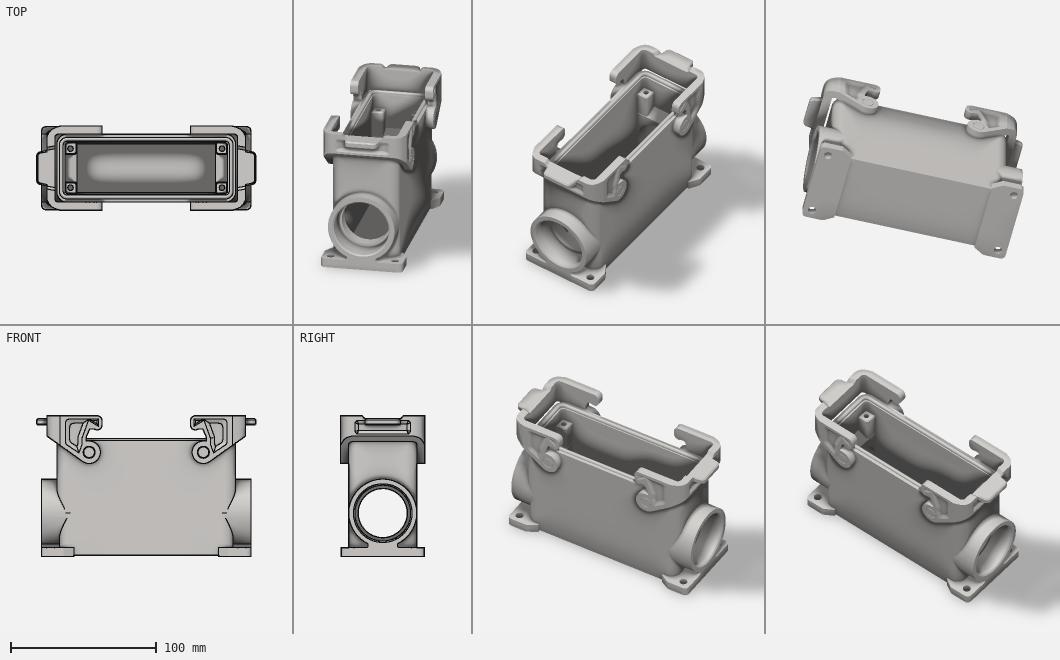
import math

import cadquery as cq

BODY_HALF_X = 61.4
LOWER_HALF_X = 59.6
BODY_HALF_Y = 23.4
BODY_CORNER_R = 7.2
BODY_BOTTOM_Z = 1.0
SHOULDER_Z = 79.7
RIM_TOP_Z = 81.2
RIM_HALF_X, RIM_HALF_Y = 59.7, 21.2
RIM_WIDTH = 2.7
RIM_EDGE_R = 1.34
RIM_CORNER_R = 5.5

SEAL_LEDGE_Z = 79.0
CAVITY_HALF_X, CAVITY_HALF_Y = 55.9, 17.8
FLOOR_HALF_Y = 16.6
SHELF_Z = 69.2
FLOOR_Z = 5.0
CAVITY_CORNER_R = 3.0

BLOCK_INNER_X = 47.4
BLOCK_INNER_Z = 51.0
BLOCK_SLOPE = 25.0

POST_INNER_X = 47.6
POST_INNER_Y = 9.4
POST_CORNER_R = 2.0
POST_CHAMFER = 0.7
POST_HOLE_X, POST_HOLE_Y = 52.0, 13.4
POST_HOLE_R = 1.9
POST_HOLE_DEPTH = 12.0

NOZZLE_END_X = 71.9
NOZZLE_ROOT_X = 50.0
NOZZLE_R = 23.35
NOZZLE_Z = 29.95
BORE_R = 16.8
COUNTERBORE_R = 19.2
COUNTERBORE_DEPTH = 15.7
MOUTH_CHAMFER = 0.95
WEB_HALF_Y = 10.1
WEB_FILLET_R = 1.5

FOOT_HALF_Y = 28.6
FOOT_INNER_X = 49.6
FOOT_BEVEL_X = 56.7
FOOT_BEVEL_Y = 24.4
FOOT_HEIGHT = 6.2
FOOT_CORNER_R = 3.2
FOOT_BEND_R = 3.3
FOOT_HOLE_X, FOOT_HOLE_Y = 65.8, 22.6
FOOT_HOLE_R = 2.75

LEVER_TOP_Z = 96.9
LEVER_END_X = 68.2
LEVER_INNER_X = 62.8
LEVER_HALF_Y = 29.0
LEVER_END_Z = 82.8
LEVER_INNER_R = 2.7
CORNER_ARC_R = 7.8
CORNER_ARC_Y = 20.15
CORNER_ARC_SWEEP = 60.0
CORNER_FLAT_X, CORNER_FLAT_Y = 62.1, 27.9
ARM_START_X = 59.1
PIVOT_X, PIVOT_Z = 39.2, 71.7
PIVOT_R = 7.7
PIN_R = 4.1
PIN_GAP = 0.4
PIN_GAP_DEPTH = 0.5
HOOK_TIP_X = 30.3
HOOK_TIP_R = 3.7
HOOK_BOTTOM_Z = 86.9
HOOK_THROAT = [(-35.8, 87.6), (-38.8, 87.6), (-41.0, 82.5)]
THROAT_END_X = 41.3
LEVER_POCKET = [
    (-55.4, 94.5), (-39.3, 94.5), (-44.1, 81.4), (-44.1, 77.0), (-46.2, 71.3), (-55.4, 77.4),
]
HOOK_POCKET = [(-40.5, 94.5), (-32.7, 94.5), (-32.7, 89.4), (-37.5, 92.4)]
POCKET_TAPER = 64.0
LEVER_POCKET_DEPTH = 1.4
LEVER_POCKET_CORNER_R = 7.0
HOOK_POCKET_DEPTH = 0.5

RECESS_HALF_Y = 19.1
RECESS_BOTTOM_Z, RECESS_TOP_Z = 84.3, 93.5
RECESS_DEPTH = 1.2
RECESS_CORNER_R = 1.5

TAB_TIP_X = 75.25
TAB_BOTTOM_Z, TAB_TOP_Z = 90.3, 94.9
TAB_ROOT_HALF_Y, TAB_TIP_HALF_Y = 13.2, 10.7
TAB_CORNER_R = 3.0
TAB_CHAMFER = 0.9
NOTCH_TOP_HALF_Y, NOTCH_BOTTOM_HALF_Y = 14.3, 12.3
NOTCH_SPLAY = 1.0


def rounded_block(half_x, half_y, bottom, top, radius):
    """Upright block, centred on Z, with rounded vertical corners."""
    block = cq.Workplane("XY").workplane(offset=bottom).rect(2 * half_x, 2 * half_y)
    return block.extrude(top - bottom).edges("|Z").fillet(radius)


def both_ends(shape):
    """The -X end feature together with its mirror image at +X."""
    return shape.union(shape.mirror("YZ"))


def both_sides(shape):
    """The -Y side feature together with its mirror image at +Y."""
    return shape.union(shape.mirror("XZ"))


def body():
    """Solid body with a flat top, shorter along X below the cable axis."""
    upper = rounded_block(BODY_HALF_X, BODY_HALF_Y, NOZZLE_Z, SHOULDER_Z, BODY_CORNER_R)
    lower = rounded_block(LOWER_HALF_X, BODY_HALF_Y, BODY_BOTTOM_Z, NOZZLE_Z, BODY_CORNER_R)
    return upper.union(lower)


def sealing_rim():
    """Rounded bead around the opening, standing on the sealing ledge."""
    inner_x = RIM_HALF_X - RIM_WIDTH
    inner_y = RIM_HALF_Y - RIM_WIDTH
    bead = rounded_block(RIM_HALF_X, RIM_HALF_Y, SEAL_LEDGE_Z, RIM_TOP_Z, RIM_CORNER_R)
    opening = rounded_block(inner_x, inner_y, SEAL_LEDGE_Z, RIM_TOP_Z, RIM_CORNER_R - RIM_WIDTH)
    return bead.cut(opening).faces(">Z").edges().fillet(RIM_EDGE_R)


def cavity():
    """Opening down to the ledge, straight upper walls and drafted lower walls."""
    seal = rounded_block(
        RIM_HALF_X - RIM_WIDTH, RIM_HALF_Y - RIM_WIDTH, SEAL_LEDGE_Z, RIM_TOP_Z, RIM_CORNER_R - RIM_WIDTH
    )
    upper = rounded_block(CAVITY_HALF_X, CAVITY_HALF_Y, SHELF_Z, SEAL_LEDGE_Z, CAVITY_CORNER_R)
    outline = [
        (-FLOOR_HALF_Y, FLOOR_Z),
        (FLOOR_HALF_Y, FLOOR_Z),
        (CAVITY_HALF_Y, SHELF_Z),
        (-CAVITY_HALF_Y, SHELF_Z),
    ]
    lower = cq.Workplane("YZ").polyline(outline).close().extrude(CAVITY_HALF_X, both=True)
    return seal.union(upper).union(lower)


def bore_block():
    """Thick lower end wall with a sloped top, at -X."""
    rise = (CAVITY_HALF_X - BLOCK_INNER_X) * math.tan(math.radians(BLOCK_SLOPE))
    outline = [
        (-BLOCK_INNER_X, FLOOR_Z),
        (-BLOCK_INNER_X, BLOCK_INNER_Z),
        (-CAVITY_HALF_X, BLOCK_INNER_Z + rise),
        (-CAVITY_HALF_X, FLOOR_Z),
    ]
    block = cq.Workplane("XZ").polyline(outline).close()
    return block.extrude(CAVITY_HALF_Y, both=True)


def screw_post():
    """Post in the (-X, -Y) cavity corner with a blind screw hole."""
    size_x = CAVITY_HALF_X - POST_INNER_X
    size_y = CAVITY_HALF_Y - POST_INNER_Y
    post = cq.Workplane("XY").box(size_x, size_y, SHELF_Z - BLOCK_INNER_Z, centered=False)
    post = post.edges("|Z and >X and >Y").fillet(POST_CORNER_R)
    post = post.faces(">Z").chamfer(POST_CHAMFER)
    post = post.translate((-CAVITY_HALF_X, -CAVITY_HALF_Y, BLOCK_INNER_Z))
    hole = cq.Workplane("XY").workplane(offset=SHELF_Z).center(-POST_HOLE_X, -POST_HOLE_Y)
    return post.cut(hole.circle(POST_HOLE_R).extrude(-POST_HOLE_DEPTH))


def x_cylinder(radius, start_x, end_x):
    """Cylinder on the cable axis between two X positions."""
    plane = cq.Workplane("YZ", origin=(start_x, 0, NOZZLE_Z))
    return plane.circle(radius).extrude(end_x - start_x)


def nozzle():
    """Cable nozzle at -X with the web that joins it to the foot."""
    tube = x_cylinder(NOZZLE_R, -NOZZLE_END_X, -NOZZLE_ROOT_X)
    bend = WEB_FILLET_R * (1 - math.sqrt(0.5))
    half = (
        cq.Workplane("YZ", origin=(-NOZZLE_END_X, 0, 0))
        .moveTo(0, 0)
        .lineTo(-WEB_HALF_Y - WEB_FILLET_R, 0)
        .lineTo(-WEB_HALF_Y - WEB_FILLET_R, FOOT_HEIGHT)
        .threePointArc(
            (-WEB_HALF_Y - bend, FOOT_HEIGHT + bend), (-WEB_HALF_Y, FOOT_HEIGHT + WEB_FILLET_R)
        )
        .lineTo(-WEB_HALF_Y, NOZZLE_Z)
        .lineTo(0, NOZZLE_Z)
        .close()
        .extrude(NOZZLE_END_X - NOZZLE_ROOT_X)
    )
    web = both_sides(half)
    return tube.union(web)


def cable_bore():
    """Bore, counterbore and chamfered mouth of the -X nozzle."""
    bore = x_cylinder(BORE_R, -NOZZLE_END_X, -BLOCK_INNER_X)
    counterbore = x_cylinder(COUNTERBORE_R, -NOZZLE_END_X, -NOZZLE_END_X + COUNTERBORE_DEPTH)
    mouth = cq.Solid.makeCone(
        COUNTERBORE_R + MOUTH_CHAMFER, COUNTERBORE_R, MOUTH_CHAMFER,
        cq.Vector(-NOZZLE_END_X, 0, NOZZLE_Z), cq.Vector(1, 0, 0),
    )
    return bore.union(counterbore).union(cq.Workplane(mouth))


def foot():
    """Mounting foot at -X with slanted inner edges and two screw holes."""
    outline = [
        (-NOZZLE_END_X, -FOOT_HALF_Y),
        (-FOOT_BEVEL_X, -FOOT_HALF_Y),
        (-FOOT_INNER_X, -FOOT_BEVEL_Y),
        (-FOOT_INNER_X, FOOT_BEVEL_Y),
        (-FOOT_BEVEL_X, FOOT_HALF_Y),
        (-NOZZLE_END_X, FOOT_HALF_Y),
    ]
    plate = cq.Workplane("XY").polyline(outline).close().extrude(FOOT_HEIGHT)
    plate = plate.edges("|Z and <X").fillet(FOOT_CORNER_R)
    for side in (-1, 1):
        bend = cq.selectors.NearestToPointSelector((-FOOT_BEVEL_X, side * FOOT_HALF_Y, FOOT_HEIGHT / 2))
        plate = plate.edges("|Z").edges(bend).fillet(FOOT_BEND_R)
    holes = cq.Workplane("XY").pushPoints([(-FOOT_HOLE_X, -FOOT_HOLE_Y), (-FOOT_HOLE_X, FOOT_HOLE_Y)])
    return plate.cut(holes.circle(FOOT_HOLE_R).extrude(FOOT_HEIGHT))


def lever_side():
    """Side outline of the lever, hook and pivot eye, across the full width."""
    run = LEVER_END_X - PIVOT_X
    drop = LEVER_END_Z - PIVOT_Z
    slope = math.atan2(drop, run) + math.asin(PIVOT_R / math.hypot(run, drop))
    tangent = (-PIVOT_X - PIVOT_R * math.sin(slope), PIVOT_Z - PIVOT_R * math.cos(slope))
    bend = HOOK_TIP_R * math.sqrt(0.5)
    tip_centre_x = -HOOK_TIP_X - HOOK_TIP_R
    top_centre_z = LEVER_TOP_Z - HOOK_TIP_R
    low_centre_z = HOOK_BOTTOM_Z + HOOK_TIP_R
    side = (
        cq.Workplane("XZ")
        .moveTo(-LEVER_END_X, LEVER_TOP_Z)
        .lineTo(tip_centre_x, LEVER_TOP_Z)
        .threePointArc((tip_centre_x + bend, top_centre_z + bend), (-HOOK_TIP_X, top_centre_z))
        .lineTo(-HOOK_TIP_X, low_centre_z)
        .threePointArc(
            (tip_centre_x + bend, low_centre_z - bend), (tip_centre_x, HOOK_BOTTOM_Z)
        )
        .lineTo(*HOOK_THROAT[0])
        .lineTo(*HOOK_THROAT[1])
        .lineTo(*HOOK_THROAT[2])
        .lineTo(-THROAT_END_X, PIVOT_Z + PIVOT_R)
        .lineTo(-PIVOT_X, PIVOT_Z + PIVOT_R)
        .threePointArc((-PIVOT_X + PIVOT_R, PIVOT_Z), tangent)
        .lineTo(-LEVER_END_X, LEVER_END_Z)
        .close()
    )
    return side.extrude(LEVER_HALF_Y, both=True)


def lever_plan():
    """U-shaped plan of the lever, as tall as the side outline."""
    bottom = PIVOT_Z - PIVOT_R
    height = LEVER_TOP_Z - bottom
    centre_x = CORNER_ARC_R - LEVER_END_X
    sweep = math.radians(CORNER_ARC_SWEEP)

    def on_arc(angle):
        return (centre_x - CORNER_ARC_R * math.cos(angle), CORNER_ARC_Y + CORNER_ARC_R * math.sin(angle))

    half = (
        cq.Workplane("XY").workplane(offset=bottom)
        .moveTo(-LEVER_END_X, 0)
        .lineTo(-LEVER_END_X, CORNER_ARC_Y)
        .threePointArc(on_arc(sweep / 2), on_arc(sweep))
        .lineTo(-CORNER_FLAT_X, CORNER_FLAT_Y)
        .lineTo(-ARM_START_X, LEVER_HALF_Y)
        .lineTo(-HOOK_TIP_X, LEVER_HALF_Y)
        .lineTo(-HOOK_TIP_X, 0)
        .close()
        .extrude(height)
    )
    opening = cq.Workplane("XY").workplane(offset=bottom)
    opening = opening.rect(2 * LEVER_INNER_X, 2 * BODY_HALF_Y).extrude(height)
    opening = opening.edges("|Z").fillet(LEVER_INNER_R)
    return both_sides(half).cut(opening)


def lever_pockets():
    """Tapered pockets in the outer face of the -Y arm."""
    face = cq.Workplane("XZ", origin=(0, -LEVER_HALF_Y, 0))
    pocket = face.polyline(LEVER_POCKET).close().extrude(-LEVER_POCKET_DEPTH, taper=POCKET_TAPER)
    left_x, top_z = LEVER_POCKET[0]
    bottom_z = LEVER_POCKET[-1][1]
    inset = LEVER_POCKET_DEPTH * math.tan(math.radians(POCKET_TAPER))
    left_corners = cq.selectors.BoxSelector(
        (left_x, -LEVER_HALF_Y, bottom_z), (left_x + inset, LEVER_POCKET_DEPTH - LEVER_HALF_Y, top_z)
    )
    pocket = pocket.edges("not #Y").edges(left_corners).fillet(LEVER_POCKET_CORNER_R)
    hook = face.polyline(HOOK_POCKET).close().extrude(-HOOK_POCKET_DEPTH, taper=POCKET_TAPER)
    return pocket.union(hook)


def pin_gap():
    """Shallow ring around the pivot pin on the -Y arm."""
    face = cq.Workplane("XZ", origin=(-PIVOT_X, -LEVER_HALF_Y, PIVOT_Z))
    return face.circle(PIN_R).circle(PIN_R - PIN_GAP).extrude(-PIN_GAP_DEPTH)


def end_recess():
    """Recess with sloped walls in the lever's end wall."""
    centre_z = (RECESS_BOTTOM_Z + RECESS_TOP_Z) / 2
    outline = cq.Sketch().rect(2 * RECESS_HALF_Y, RECESS_TOP_Z - RECESS_BOTTOM_Z)
    outline = outline.vertices().chamfer(RECESS_CORNER_R)
    face = cq.Workplane("YZ", origin=(-LEVER_END_X, 0, centre_z))
    return face.placeSketch(outline).extrude(RECESS_DEPTH, taper=POCKET_TAPER)


def tab():
    """Grip tab, narrowing outwards, with chamfered rims."""
    outline = [
        (-LEVER_INNER_X, -TAB_ROOT_HALF_Y),
        (-TAB_TIP_X, -TAB_TIP_HALF_Y),
        (-TAB_TIP_X, TAB_TIP_HALF_Y),
        (-LEVER_INNER_X, TAB_ROOT_HALF_Y),
    ]
    plate = cq.Workplane("XY").workplane(offset=TAB_BOTTOM_Z).polyline(outline).close()
    plate = plate.extrude(TAB_TOP_Z - TAB_BOTTOM_Z).edges("|Z and <X").fillet(TAB_CORNER_R)
    return plate.faces(">Z or <Z").edges("not >X").chamfer(TAB_CHAMFER)


def tab_notch():
    """Notch above the tab, splayed towards the inside of the lever."""
    def section(x, extra):
        bottom = NOTCH_BOTTOM_HALF_Y + extra
        top = NOTCH_TOP_HALF_Y + extra
        corners = [(bottom, TAB_TOP_Z), (top, LEVER_TOP_Z), (-top, LEVER_TOP_Z), (-bottom, TAB_TOP_Z)]
        return cq.Wire.makePolygon([cq.Vector(x, y, z) for y, z in corners], close=True)

    sections = [section(-LEVER_END_X, 0), section(-LEVER_INNER_X, NOTCH_SPLAY)]
    return cq.Workplane(cq.Solid.makeLoft(sections, True))


def lever():
    """Complete lever with pockets, recess, notch and tab."""
    arm = lever_side().intersect(lever_plan())
    arm = arm.cut(both_sides(lever_pockets())).cut(both_sides(pin_gap()))
    return arm.cut(end_recess()).cut(tab_notch()).union(tab())


housing = body().union(both_ends(nozzle())).union(both_ends(foot()))
housing = housing.cut(cavity()).union(sealing_rim())
housing = housing.union(both_ends(bore_block())).union(both_ends(both_sides(screw_post())))
housing = housing.cut(both_ends(cable_bore()))
result = housing.union(both_ends(lever()))